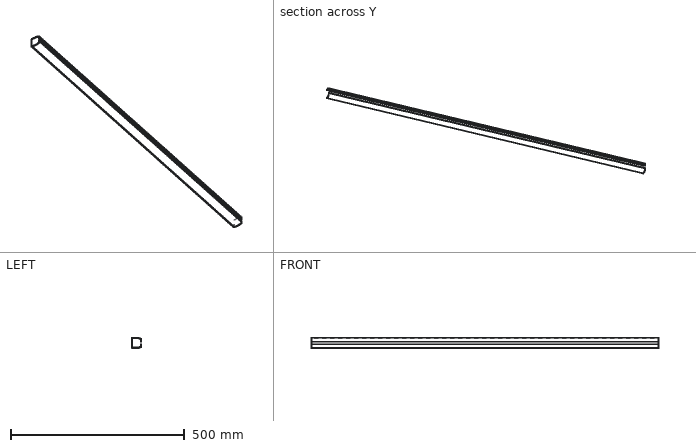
import cadquery as cq
import math

LENGTH = 1000.0
DEPTH = 28.0
HEIGHT = 30.0
WALL = 1.75
BEND_RADIUS = 3.0
SLOT_WIDTH = 8.0
SHOULDER_ANGLE = 20.5
SHOULDER_RUN = 8.6

FRONT_Y = -DEPTH / 2
BACK_Y = DEPTH / 2
TOP_Z = HEIGHT / 2
SHOULDER_TOP_Y = FRONT_Y + SHOULDER_RUN
SHOULDER_DROP = SHOULDER_RUN * math.tan(math.radians(SHOULDER_ANGLE))
SHOULDER_FOOT_Z = TOP_Z - SHOULDER_DROP


def outer_bar():
    """Solid bar with the outside shape of the rail, all lengthwise edges rounded."""
    outline = [
        (FRONT_Y, -SHOULDER_FOOT_Z),
        (FRONT_Y, SHOULDER_FOOT_Z),
        (SHOULDER_TOP_Y, TOP_Z),
        (BACK_Y, TOP_Z),
        (BACK_Y, -TOP_Z),
        (SHOULDER_TOP_Y, -TOP_Z),
    ]
    bar = cq.Workplane("YZ").polyline(outline).close().extrude(LENGTH)
    return bar.edges("|X").fillet(BEND_RADIUS)


def cavity(bar):
    """Inside space: the end outline of the bar moved inward by the wall thickness."""
    end_outline = bar.faces("<X").wires().val()
    inner_outline = end_outline.offset2D(-WALL)[0]
    return cq.Workplane("YZ").add(inner_outline).toPending().extrude(LENGTH)


def slot():
    """Lengthwise opening through the front wall."""
    cut_depth = 2 * WALL
    section = cq.Workplane("YZ").center(FRONT_Y, 0)
    return section.rect(2 * cut_depth, SLOT_WIDTH).extrude(LENGTH)


bar = outer_bar()
result = bar.cut(cavity(bar)).cut(slot())